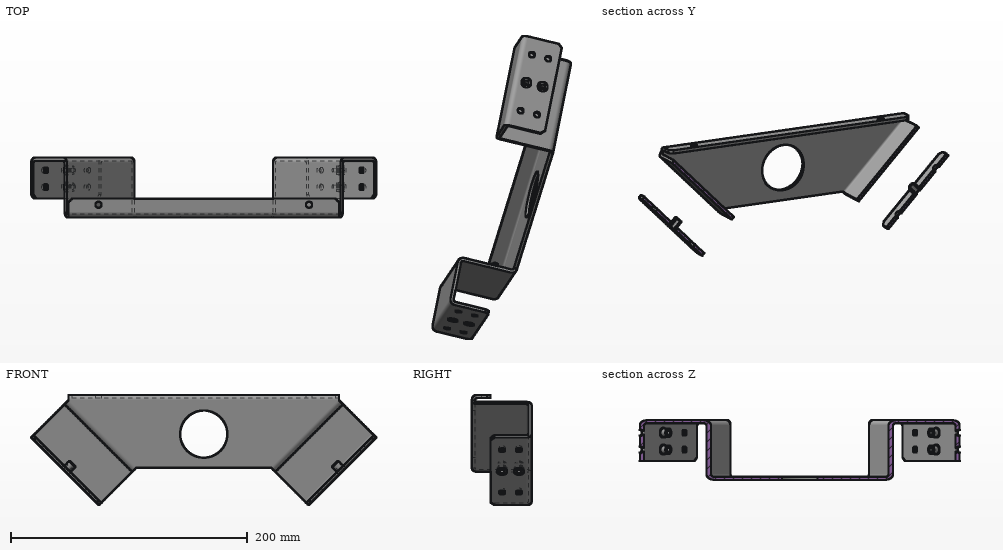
import cadquery as cq
import math

thickness = 3.0
inner_bend = 1.7
outer_bend = inner_bend + thickness
corner_chamfer = 3.2

total_width = 291.5
total_depth = 50.7
flange_width = 228.5
plate_bottom_width = 114.3

fold_run = (flange_width - plate_bottom_width) / 2
wing_length = fold_run * math.sqrt(2)
wing_reach = (total_width - flange_width) / 2 * math.sqrt(2)

flange_depth = 16.0
flange_hole_diameter = 5.2
flange_hole_spacing = 177.8
flange_hole_from_front = 10.8

plate_top = -outer_bend
plate_bottom = plate_top - fold_run
opening_diameter = 39.5

lip_start = flange_depth
lip_hole_diameter = 5.0
lip_hole_offset = 25.5
rear_row_from_back = 10.8
front_row_from_back = 25.0
hole_rows = [total_depth - front_row_from_back, total_depth - rear_row_from_back]

insert_head_diameter = 8.5
insert_body_diameter = 7.3
insert_bore = 4.0
insert_height = 6.0
insert_chamfer = 0.3


def make_front_plate():
    """Trapezoid plate between the two folds, with the round opening at mid-height."""
    plate = (
        cq.Workplane("XZ")
        .polyline([
            (-flange_width / 2, plate_top),
            (flange_width / 2, plate_top),
            (plate_bottom_width / 2, plate_bottom),
            (-plate_bottom_width / 2, plate_bottom),
        ])
        .close()
        .extrude(-thickness)
    )
    opening = (
        cq.Workplane("XZ")
        .center(0, (plate_top + plate_bottom) / 2)
        .circle(opening_diameter / 2)
        .extrude(-thickness)
    )
    return plate.cut(opening)


def make_top_flange():
    """Flange with its bend, folded back from the top edge of the front plate."""
    flange = (
        cq.Workplane("YZ")
        .moveTo(0, plate_top)
        .radiusArc((outer_bend, 0), outer_bend)
        .lineTo(flange_depth, 0)
        .lineTo(flange_depth, -thickness)
        .lineTo(outer_bend, -thickness)
        .radiusArc((thickness, plate_top), -inner_bend)
        .close()
        .extrude(flange_width / 2, both=True)
    )
    flange = flange.edges("|Z and >Y").chamfer(corner_chamfer)
    holes = (
        cq.Workplane("XY")
        .pushPoints([(side * flange_hole_spacing / 2, flange_hole_from_front) for side in (-1, 1)])
        .circle(flange_hole_diameter / 2)
        .extrude(-thickness)
    )
    return flange.cut(holes)


def lip_cylinder(y, z, diameter, height):
    """Cylinder rising inwards from the outer face of the lip, in the wing frame."""
    axis = cq.Plane(origin=(wing_reach, y, z), xDir=(0, 1, 0), normal=(-1, 0, 0))
    return cq.Workplane(axis).circle(diameter / 2).extrude(height)


def make_wing():
    """Wing in its own frame: X outwards from the fold, Y to the back, Z along the fold."""
    web_outside = outer_bend
    web_inside = web_outside - thickness
    back_inside = total_depth - thickness
    lip_inside = wing_reach - thickness
    wing = (
        cq.Workplane("XY")
        .radiusArc((web_outside, outer_bend), -outer_bend)
        .lineTo(web_outside, back_inside - inner_bend)
        .radiusArc((web_outside + inner_bend, back_inside), inner_bend)
        .lineTo(lip_inside - inner_bend, back_inside)
        .radiusArc((lip_inside, back_inside - inner_bend), inner_bend)
        .lineTo(lip_inside, lip_start)
        .lineTo(wing_reach, lip_start)
        .lineTo(wing_reach, total_depth - outer_bend)
        .radiusArc((wing_reach - outer_bend, total_depth), -outer_bend)
        .lineTo(web_inside + outer_bend, total_depth)
        .radiusArc((web_inside, total_depth - outer_bend), -outer_bend)
        .lineTo(web_inside, outer_bend)
        .radiusArc((0, thickness), inner_bend)
        .close()
        .extrude(wing_length)
    )
    for end in (0, wing_length):
        lip_corner = (wing_reach - thickness / 2, lip_start, end)
        wing = wing.edges(cq.NearestToPointSelector(lip_corner)).chamfer(corner_chamfer)
    middle = wing_length / 2
    for y in hole_rows:
        wing = wing.cut(lip_cylinder(y, middle, insert_head_diameter, thickness))
        for side in (-1, 1):
            wing = wing.cut(lip_cylinder(y, middle + side * lip_hole_offset, lip_hole_diameter, thickness))
    return wing


def make_insert(y):
    """Insert in the wing frame: a head as thick as the lip and a narrower body rising inwards."""
    middle = wing_length / 2
    length = thickness + insert_height
    head = lip_cylinder(y, middle, insert_head_diameter, thickness)
    body = lip_cylinder(y, middle, insert_body_diameter, length).faces("<X").chamfer(insert_chamfer)
    return head.union(body).cut(lip_cylinder(y, middle, insert_bore, length))


def place_left(part):
    """Move a solid from the wing frame to the left-hand fold."""
    fold = cq.Plane(origin=(-flange_width / 2, 0, plate_top), xDir=(-1, 0, -1), normal=(1, 0, -1))
    return cq.Workplane(part.val().moved(cq.Location(fold)))


left_wing = place_left(make_wing())
bracket = make_front_plate().union(make_top_flange()).union(left_wing).union(left_wing.mirror("YZ"))

inserts = []
for row in hole_rows:
    left_insert = place_left(make_insert(row))
    inserts.append(left_insert.val())
    inserts.append(left_insert.mirror("YZ").val())

result = cq.Compound.makeCompound([bracket.solids().val(), *inserts])